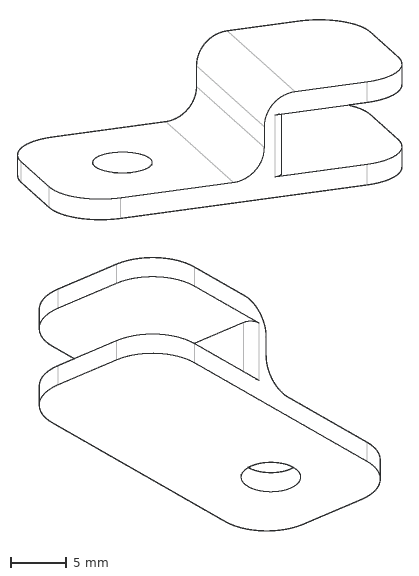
import cadquery as cq

length = 34.0
width = 17.0
height = 10.0
thickness = 2.0
upper_length = 15.0
bend_radius = 3.0
corner_radius = 5.0
wall_edge_radius = 1.0
hole_diameter = 5.4
hole_from_end = 8.5

front_y = -length / 2
back_y = length / 2
wall_front_y = back_y - upper_length
slot_height = height - 2 * thickness


def make_plate(plate_length, center_y, bottom_z, rounded_edges):
    """Flat plate with the selected vertical corners rounded."""
    return (
        cq.Workplane("XY")
        .box(width, plate_length, thickness, centered=(True, True, False))
        .edges(rounded_edges)
        .fillet(corner_radius)
        .translate((0, center_y, bottom_z))
    )


def make_bent_body():
    """Base plate with an upright wall and an upper plate folded back over it."""
    base = make_plate(length, 0, 0, "|Z")
    upper_center_y = (wall_front_y + back_y) / 2
    upper = make_plate(upper_length, upper_center_y, height - thickness, "|Z and >Y")
    wall = (
        cq.Workplane("XY")
        .box(width, thickness, slot_height, centered=(True, False, False))
        .edges("|Z and >Y")
        .fillet(wall_edge_radius)
        .translate((0, wall_front_y, thickness))
    )
    body = base.union(wall).union(upper)

    outer_bend = cq.selectors.NearestToPointSelector((0, wall_front_y, height))
    wall_foot = cq.selectors.NearestToPointSelector((0, wall_front_y, thickness))
    return body.edges(outer_bend).fillet(bend_radius).edges(wall_foot).fillet(bend_radius)


def make_screw_hole():
    """Cutter for the through hole in the exposed part of the base."""
    return (
        cq.Workplane("XY")
        .center(0, front_y + hole_from_end)
        .circle(hole_diameter / 2)
        .extrude(thickness)
    )


result = make_bent_body().cut(make_screw_hole())